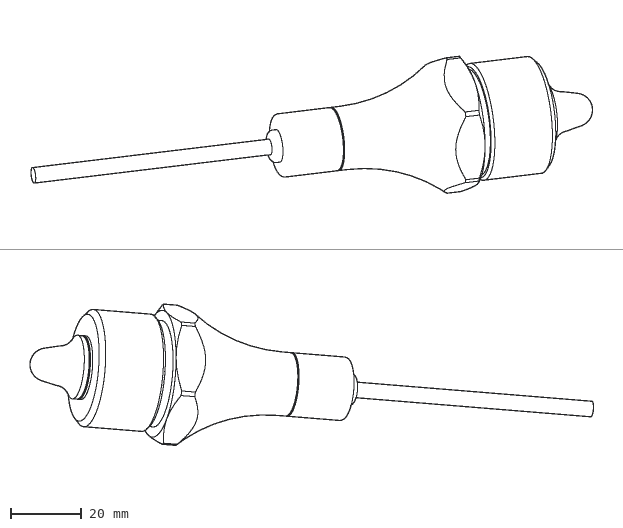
import cadquery as cq
import math

total_length = 165.8

dome_dia = 9.3
dome_end = 3.6
cone_dia = 11.3
cone_end = 8.1
flare_arc_mid_dia = 12.5
flare_arc_mid = 10.3
flare_arc_end_dia = 14.8
flare_arc_end = 11.8
collar_dia = 18.0
flare_end = 13.1

barrel_start = 15.5
barrel_dia = 33.3
barrel_chamfer = 1.5
barrel_end = 34.1
barrel_back_chamfer = 0.8
neck_dia = 30.2
hex_start = 37.5

hex_sides = 6
hex_across_flats = 36.0
hex_corner_dia = 40.8
hex_chamfer = 1.7

body_dia = 18.0
trumpet_radius = 46.4
trumpet_end = 73.6
body_end = 93.2
body_fillet = 1.2

groove_width = 0.3
groove_depth = 0.2
collar_groove_start = 14.6
body_groove_start = 76.2

grommet_dia = 9.3
grommet_end = 95.6
grommet_fillet = 1.5
cable_dia = 4.5


def station(distance):
    """Y coordinate of a distance from the tip; the part is centred on Y."""
    return total_length / 2 - distance


def point(diameter, distance):
    """Profile point in the XY plane."""
    return (diameter / 2, station(distance))


def revolve_profile(profile):
    return profile.close().revolve(360, (0, 0), (0, 1))


def cylinder(diameter, start, end):
    base = cq.Workplane("XZ", origin=(0, station(start), 0))
    return base.circle(diameter / 2).extrude(end - start)


def make_tip():
    dome_radius = (dome_end**2 + (dome_dia / 2) ** 2) / (2 * dome_end)
    dome_mid_depth = dome_end / 2
    dome_mid_dia = 2 * math.sqrt(dome_radius**2 - (dome_radius - dome_mid_depth) ** 2)
    profile = (
        cq.Workplane("XY")
        .moveTo(*point(0, 0))
        .threePointArc(point(dome_mid_dia, dome_mid_depth), point(dome_dia, dome_end))
        .lineTo(*point(cone_dia, cone_end))
        .threePointArc(point(flare_arc_mid_dia, flare_arc_mid), point(flare_arc_end_dia, flare_arc_end))
        .lineTo(*point(collar_dia, flare_end))
        .lineTo(*point(collar_dia, barrel_start))
        .lineTo(*point(0, barrel_start))
    )
    return revolve_profile(profile)


def make_barrel():
    barrel = cylinder(barrel_dia, barrel_start, barrel_end + barrel_back_chamfer)
    barrel = barrel.faces(">Y").chamfer(barrel_chamfer)
    barrel = barrel.faces("<Y").chamfer(barrel_back_chamfer)
    return barrel.union(cylinder(neck_dia, barrel_start, hex_start))


def trumpet_drop(diameter):
    """Axial distance from a diameter on the concave arc to its tangent end."""
    rise = (diameter - body_dia) / 2
    return math.sqrt(trumpet_radius**2 - (trumpet_radius - rise) ** 2)


def make_head_and_body():
    arc_start = trumpet_end - trumpet_drop(hex_corner_dia)
    arc_mid_dia = (hex_corner_dia + body_dia) / 2
    arc_mid = trumpet_end - trumpet_drop(arc_mid_dia)
    profile = (
        cq.Workplane("XY")
        .moveTo(*point(0, hex_start))
        .lineTo(*point(hex_across_flats, hex_start))
        .lineTo(*point(hex_corner_dia, hex_start + hex_chamfer))
        .lineTo(*point(hex_corner_dia, arc_start))
        .threePointArc(point(arc_mid_dia, arc_mid), point(body_dia, trumpet_end))
        .lineTo(*point(body_dia, body_end))
        .lineTo(*point(0, body_end))
    )
    turned = revolve_profile(profile).faces("<Y").edges().fillet(body_fillet)
    corner_radius = hex_across_flats / 2 / math.cos(math.pi / hex_sides)
    corner_angles = [math.pi / 2 + 2 * math.pi * i / hex_sides for i in range(hex_sides)]
    corners = [(corner_radius * math.cos(a), corner_radius * math.sin(a)) for a in corner_angles]
    hexagon = (
        cq.Workplane("XZ", origin=(0, station(hex_start), 0))
        .polyline(corners)
        .close()
        .extrude(body_end - hex_start)
    )
    return turned.intersect(hexagon)


def make_cable():
    grommet = cylinder(grommet_dia, body_end, grommet_end)
    grommet = grommet.faces("<Y").edges().fillet(grommet_fillet)
    return grommet.union(cylinder(cable_dia, body_end, total_length))


def make_groove(diameter, start):
    end = start + groove_width
    outer = cylinder(diameter + groove_depth, start, end)
    return outer.cut(cylinder(diameter - 2 * groove_depth, start, end))


result = make_tip().union(make_barrel()).union(make_head_and_body()).union(make_cable())
result = result.cut(make_groove(collar_dia, collar_groove_start))
result = result.cut(make_groove(body_dia, body_groove_start))